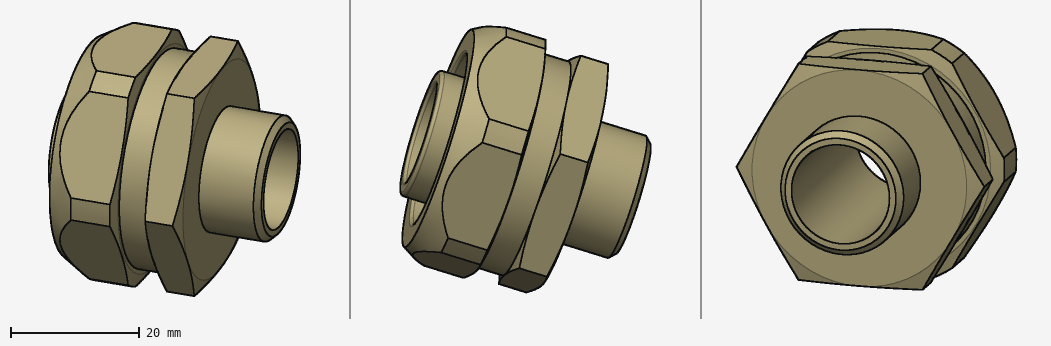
import cadquery as cq
import math

nut_start = 3.0
nut_length = 11.47
collar_length = 4.5
locknut_length = 6.0
total_length = 35.0
nut_end = nut_start + nut_length
locknut_start = nut_end + collar_length
locknut_end = locknut_start + locknut_length

nut_flats = 37.0
nut_diameter = 40.7
nut_face_diameter = 35.55
nut_cone_angle = 30.0
nut_back_diameter = 36.45
nut_opening = 27.8
opening_rounding = 0.5

collar_diameter = 35.0
hex_chamfer_angle = 15.0

tube_diameter = 20.5
tube_rounding = 0.55
spigot_diameter = 20.0
spigot_chamfer = 0.98
bore_diameter = 16.0
bore_rounding = 0.5


def cylinder(diameter, start, end):
    return cq.Workplane("YZ", origin=(start, 0, 0)).circle(diameter / 2).extrude(end - start)


def hexagon(across_flats, start, end):
    """Hexagonal prism along X with corners on the Y axis."""
    across_corners = across_flats / math.cos(math.radians(30))
    return cq.Workplane("YZ", origin=(start, 0, 0)).polygon(6, across_corners).extrude(end - start)


def coned_blank(diameter, front_diameter, back_diameter, front_run, back_run, start, end):
    """Cylinder along X with a cone at each end, used to trim hexagon corners."""
    return (
        cq.Workplane("XY")
        .moveTo(start, 0)
        .lineTo(start, front_diameter / 2)
        .lineTo(start + front_run, diameter / 2)
        .lineTo(end - back_run, diameter / 2)
        .lineTo(end, back_diameter / 2)
        .lineTo(end, 0)
        .close()
        .revolve(360, (0, 0, 0), (1, 0, 0))
    )


def make_union_nut():
    front_run = (nut_diameter - nut_face_diameter) / 2 / math.tan(math.radians(nut_cone_angle))
    back_run = (nut_diameter - nut_back_diameter) / 2 * math.tan(math.radians(hex_chamfer_angle))
    blank = coned_blank(
        nut_diameter, nut_face_diameter, nut_back_diameter, front_run, back_run, nut_start, nut_end
    )
    nut = hexagon(nut_flats, nut_start, nut_end).intersect(blank)
    nut = nut.cut(cylinder(nut_opening, nut_start, nut_end))
    opening_edge = cq.selectors.RadiusNthSelector(0)
    return nut.faces("<X").edges("%CIRCLE").edges(opening_edge).fillet(opening_rounding)


def make_locknut():
    across_corners = collar_diameter / math.cos(math.radians(30))
    run = (across_corners - collar_diameter) / 2 * math.tan(math.radians(hex_chamfer_angle))
    blank = coned_blank(
        across_corners, collar_diameter, collar_diameter, run, run, locknut_start, locknut_end
    )
    return hexagon(collar_diameter, locknut_start, locknut_end).intersect(blank)


def make_tube():
    return cylinder(tube_diameter, 0, locknut_start).faces("<X").edges().fillet(tube_rounding)


def make_spigot():
    return cylinder(spigot_diameter, locknut_end, total_length).faces(">X").chamfer(spigot_chamfer)


collar = cylinder(collar_diameter, nut_end, locknut_start)
collar = collar.cut(cylinder(nut_opening, nut_end, locknut_start))
body = collar.union(make_union_nut()).union(make_locknut()).union(make_tube()).union(make_spigot())

bored = body.cut(cylinder(bore_diameter, 0, total_length))
result = bored.faces("<X").edges(cq.selectors.RadiusNthSelector(0)).fillet(bore_rounding)